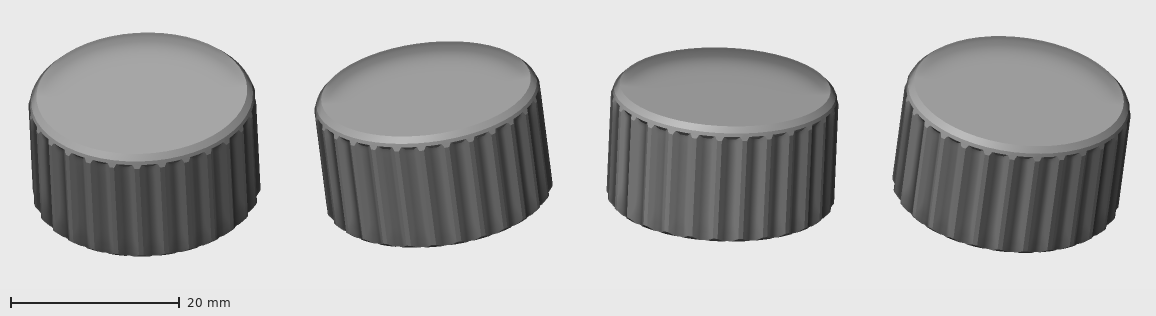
import cadquery as cq
import math

height = 14.5
rim_radius = 13.5
top_face_radius = 12.5
shoulder_radius = 13.15
shoulder_drop = shoulder_radius - top_face_radius
taper_drop = 1.5
base_chamfer = 0.5

flute_count = 28
flute_pitch = 360 / flute_count
first_flute_angle = -92.3
tip_width = 0.57
flank_slope = 30
valley_half_width = 0.45
flute_end_drop = 1.05
flute_clearance = 0.28

tilt_angle = 7


def knob_body():
    """Chamfered disc with a shallow taper below the top chamfer."""
    profile = [
        (0, 0),
        (rim_radius - base_chamfer, 0),
        (rim_radius, base_chamfer),
        (rim_radius, height - taper_drop),
        (shoulder_radius, height - shoulder_drop),
        (top_face_radius, height),
        (0, height),
    ]
    return cq.Workplane("XZ").polyline(profile).close().revolve(360, (0, 0), (0, 1))


def flute_cutter():
    """Cutter for one flute on the +X side, open at the base and closed at its upper end."""
    slope = math.radians(flank_slope)
    half_mouth_angle = math.radians(flute_pitch / 2) - tip_width / 2 / rim_radius
    mouth_radius = rim_radius * math.cos(half_mouth_angle)
    mouth_half_width = rim_radius * math.sin(half_mouth_angle)

    flank_foot_radius = mouth_radius - (mouth_half_width - valley_half_width) * math.tan(slope)
    valley_radius = flank_foot_radius - valley_half_width * math.tan(slope / 2)
    outer_radius = rim_radius + flute_clearance
    outer_half_width = mouth_half_width + (outer_radius - mouth_radius) / math.tan(slope)

    section = (
        cq.Workplane("XY")
        .moveTo(outer_radius, -outer_half_width)
        .lineTo(flank_foot_radius, -valley_half_width)
        .threePointArc((valley_radius, 0), (flank_foot_radius, valley_half_width))
        .lineTo(outer_radius, outer_half_width)
        .close()
        .extrude(height)
    )

    taper_fraction = (flute_end_drop - shoulder_drop) / (taper_drop - shoulder_drop)
    end_radius = shoulder_radius + taper_fraction * (rim_radius - shoulder_radius)
    end_height = height - flute_end_drop
    ledge_radius = math.hypot(flank_foot_radius, valley_half_width)
    ledge_height = height - taper_drop
    end_rise = (end_height - ledge_height) / (end_radius - ledge_radius)
    inner_radius = valley_radius - flute_clearance
    reach_profile = [
        (inner_radius, 0),
        (outer_radius, 0),
        (outer_radius, end_height + (outer_radius - end_radius) * end_rise),
        (ledge_radius, ledge_height),
        (inner_radius, ledge_height),
    ]
    reach = cq.Workplane("XZ").polyline(reach_profile).close().revolve(360, (0, 0), (0, 1))
    return section.intersect(reach)


knob = knob_body()
cutter = flute_cutter()
for index in range(flute_count):
    angle = first_flute_angle + index * flute_pitch
    knob = knob.cut(cutter.rotate((0, 0, 0), (0, 0, 1), angle))

result = knob.rotate((0, 0, 0), (1, 0, 0), tilt_angle)